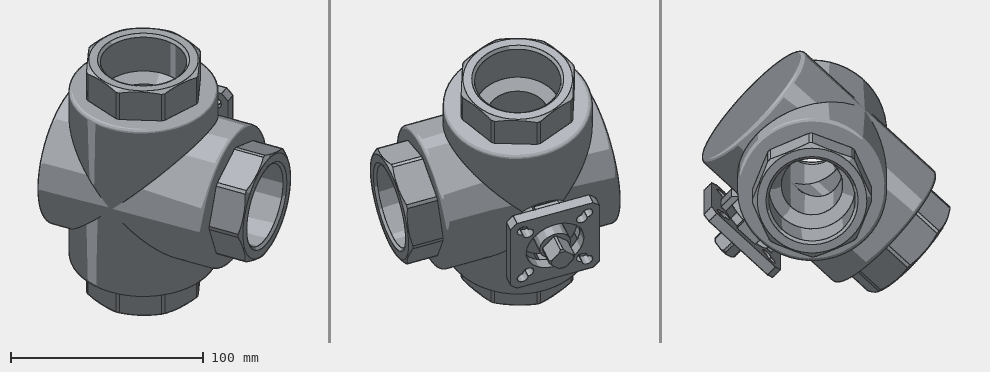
import cadquery as cq
import math

body_diameter = 77.5
body_half_height = 52.9
blank_end_x = -43.0
port_shoulder_x = 52.9
body_edge_radius = 2.0

port_end = 71.1
octagon_sides = 8
octagon_corner_diameter = 62.0
octagon_across_flats = 58.0
octagon_face_diameter = 56.9
octagon_chamfer_angle = 30

bore_diameter = 31.9
socket_diameter = 44.8
socket_mouth_diameter = 47.8
socket_depth = 22.9
drill_tip_angle = 30

plate_size = 49.5
plate_corner_diameter = 65.0
plate_top_y = 55.5
plate_thickness = 6.0
plate_bottom_y = plate_top_y - plate_thickness
bolt_circle_diameters = (50.6, 42.1)
bolts_per_circle = 4
plate_diagonal_angle = 45
bolt_hole_diameter = 6.0
plate_bore_diameter = 31.9
boss_diameter = 32.0
boss_top_y = 44.8
rib_count = 4
rib_width = 13.1
rib_reach = 18.0
rib_chamfer_y = 41.7

overall_depth = 105.2
stem_top_y = overall_depth - body_diameter / 2
stem_diameter = 17.0
square_across_flats = 11.0
square_corner_diameter = 14.1
square_end_chamfer = 1.0


def along_x(shape):
    """Turn a shape built along +Z so that it lies along +X."""
    return shape.rotate((0, 0, 0), (0, 1, 0), 90)


def cylinder_y(diameter, start, end):
    """Cylinder along the Y axis between two Y positions."""
    return cq.Workplane("XZ", origin=(0, start, 0)).circle(diameter / 2).extrude(start - end)


def body_barrel(start, end):
    """Cylinder along +Z with both end edges rounded."""
    barrel = cq.Workplane("XY", origin=(0, 0, start)).circle(body_diameter / 2).extrude(end - start)
    return barrel.edges("%CIRCLE").fillet(body_edge_radius)


def octagon_port(shoulder):
    """Octagon along +Z, its corners turned down and its end face chamfered by a cone."""
    vertex_diameter = octagon_across_flats / math.cos(math.pi / octagon_sides)
    octagon = cq.Workplane("XY").polygon(octagon_sides, vertex_diameter).extrude(port_end)
    corner_radius = octagon_corner_diameter / 2
    face_radius = octagon_face_diameter / 2
    chamfer_height = (corner_radius - face_radius) * math.tan(math.radians(octagon_chamfer_angle))
    turned = (
        cq.Workplane("XZ")
        .moveTo(0, shoulder)
        .lineTo(corner_radius, shoulder)
        .lineTo(corner_radius, port_end - chamfer_height)
        .lineTo(face_radius, port_end)
        .lineTo(0, port_end)
        .close()
        .revolve(360, (0, 0, 0), (0, 1, 0))
    )
    return octagon.intersect(turned)


def port_bore():
    """Bore along +Z from the centre, opening into a socket with a conical floor."""
    bore_radius = bore_diameter / 2
    socket_radius = socket_diameter / 2
    mouth_radius = socket_mouth_diameter / 2
    floor = port_end - socket_depth
    cone_height = (socket_radius - bore_radius) * math.tan(math.radians(drill_tip_angle))
    return (
        cq.Workplane("XZ")
        .lineTo(bore_radius, 0)
        .lineTo(bore_radius, floor - cone_height)
        .lineTo(socket_radius, floor)
        .lineTo(socket_radius, port_end - (mouth_radius - socket_radius))
        .lineTo(mouth_radius, port_end)
        .lineTo(0, port_end)
        .close()
        .revolve(360, (0, 0, 0), (0, 1, 0))
    )


def mounting_plate():
    """Square plate with rounded corners, a bore for the stem and paired, overlapping bolt holes."""
    square = cq.Workplane("XZ", origin=(0, plate_top_y, 0)).rect(plate_size, plate_size)
    plate = square.extrude(plate_thickness)
    plate = plate.intersect(cylinder_y(plate_corner_diameter, plate_bottom_y, plate_top_y))
    plate = plate.cut(cylinder_y(plate_bore_diameter, plate_bottom_y, plate_top_y))
    for bolt_circle_diameter in bolt_circle_diameters:
        bolt_holes = (
            cq.Workplane("XZ", origin=(0, plate_top_y, 0))
            .polarArray(bolt_circle_diameter / 2, plate_diagonal_angle, 360, bolts_per_circle)
            .circle(bolt_hole_diameter / 2)
            .extrude(plate_thickness)
        )
        plate = plate.cut(bolt_holes)
    return plate


def plate_ribs():
    """Evenly spaced ribs around the boss, sloping in at 45 degrees towards the body."""
    rib = (
        cq.Workplane("XY")
        .moveTo(0, plate_bottom_y)
        .lineTo(rib_reach, plate_bottom_y)
        .lineTo(rib_reach, rib_chamfer_y)
        .lineTo(0, rib_chamfer_y - rib_reach)
        .close()
        .extrude(rib_width / 2, both=True)
        .cut(cylinder_y(boss_diameter, boss_top_y, plate_bottom_y))
    )
    ribs = rib
    for index in range(1, rib_count):
        ribs = ribs.union(rib.rotate((0, 0, 0), (0, 1, 0), index * 360 / rib_count))
    return ribs


def stem():
    """Round stem up to the top of the plate, then a square drive set cornerwise."""
    drive = (
        cq.Workplane("XZ", origin=(0, stem_top_y, 0))
        .rect(square_across_flats, square_across_flats)
        .extrude(stem_top_y - plate_top_y)
        .rotate((0, 0, 0), (0, 1, 0), plate_diagonal_angle)
    )
    turned = cylinder_y(square_corner_diameter, plate_top_y, stem_top_y)
    turned = turned.faces(">Y").chamfer(square_end_chamfer)
    return drive.intersect(turned).union(cylinder_y(stem_diameter, 0, plate_top_y))


top_port = octagon_port(body_half_height)
bottom_port = top_port.mirror("XY")
side_port = along_x(octagon_port(port_shoulder_x))
top_bore = port_bore()

result = (
    body_barrel(-body_half_height, body_half_height)
    .union(along_x(body_barrel(blank_end_x, port_shoulder_x)))
    .union(top_port)
    .union(bottom_port)
    .union(side_port)
    .union(cylinder_y(boss_diameter, 0, boss_top_y))
    .union(mounting_plate())
    .union(plate_ribs())
    .union(stem())
    .cut(top_bore)
    .cut(top_bore.mirror("XY"))
    .cut(along_x(top_bore))
)